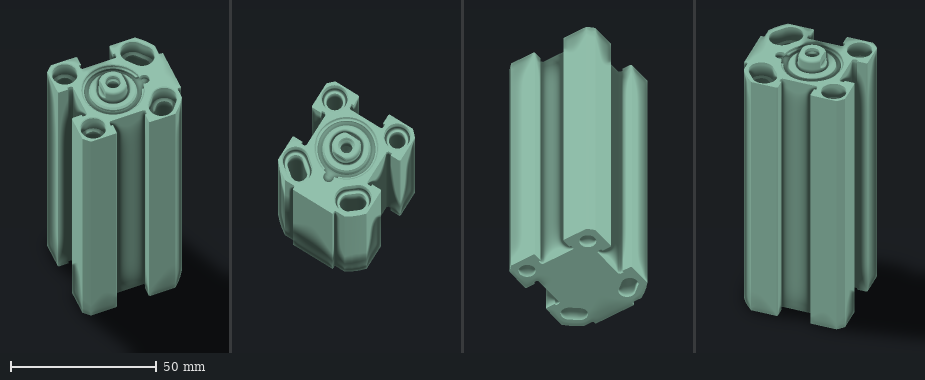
import cadquery as cq
import math

TOTAL_HEIGHT = 102.5
HOUSING_HEIGHT = 98.0
WIDTH = 36.0
DEPTH = 40.0
HALF_WIDTH = WIDTH / 2
PORT_FACE_Y = DEPTH - HALF_WIDTH

CORNER_RADIUS = 23.9
SHOULDER_Y = 20.6
PORT_FACE_HALF_WIDTH = 8.1
SHOULDER_FILLET = 0.4

SLOT_MOUTH_WIDTH = 12.0
SLOT_INNER_WIDTH = 13.5
SLOT_LIP_THICKNESS = 3.8
SLOT_DEPTH = 5.6
SLOT_INNER_CHAMFER = 0.5
SLOT_EDGE_CHAMFER = 0.3

HOLE_DIAMETER = 5.8
COUNTERBORE_DIAMETER = 8.8
COUNTERBORE_DEPTH = 5.9
RIM_CHAMFER = 0.3
RIM_CHAMFER_ANGLE = 45.0
HOLE_OFFSET = 12.7
SLOTTED_HOLE_END_X = 9.9
SLOTTED_HOLE_END_Y = 15.0

MOUTH_DIAMETER = 21.6
MOUTH_CHAMFER = 0.26
GROOVE_DIAMETER = 22.8
RING_INNER_DIAMETER = 20.0
RING_TOP_DEPTH = 1.1
RING_THICKNESS = 1.0
RING_GAP = 5.5
NOTCH_RADIUS = 1.8
NOTCH_Y = 11.7
NOTCH_DEPTH = 2.0

GLAND_FLANGE_DEPTH = RING_TOP_DEPTH + RING_THICKNESS
GLAND_LENGTH = 12.3
BOSS_DIAMETER = 16.5
BOSS_FOOT_DIAMETER = 17.6
BOSS_TOP_DEPTH = 0.2
BOSS_CHAMFER = 0.6
WIPER_BORE_DIAMETER = 11.4
WIPER_BORE_DEPTH = 1.0
WIPER_BORE_CHAMFER = 0.4
GLAND_HOLE_DIAMETER = 10.5

ROD_DIAMETER = 10.0
ROD_EDGE_RADIUS = 1.3
FLAT_WIDTH = 8.0
FLAT_LENGTH = 3.6
THREAD_HOLE_DIAMETER = 4.1
THREAD_HOLE_DEPTH = 10.2
THREAD_RELIEF_DIAMETER = 5.2
THREAD_RELIEF_DEPTH = 1.8
THREAD_RIM_CHAMFER = 0.3
DRILL_POINT_ANGLE = 118.0

RING_TOP_Z = HOUSING_HEIGHT - RING_TOP_DEPTH
FLANGE_TOP_Z = HOUSING_HEIGHT - GLAND_FLANGE_DEPTH
BOSS_TOP_Z = HOUSING_HEIGHT - BOSS_TOP_DEPTH
GLAND_BOTTOM_Z = BOSS_TOP_Z - GLAND_LENGTH


def disc(diameter, bottom, top):
    """Solid cylinder on the Z axis between two levels."""
    return cq.Workplane("XY").workplane(offset=bottom).circle(diameter / 2).extrude(top - bottom)


def revolved(points):
    """Solid turned about the Z axis from (radius, z) points."""
    return cq.Workplane("XZ").polyline(points).close().revolve(360, (0, 0, 0), (0, 1, 0))



def housing_blank():
    """Extruded outline: a square with corners on one circle and a raised face on +Y."""
    block = (
        cq.Workplane("XY")
        .rect(WIDTH, HALF_WIDTH + SHOULDER_Y)
        .extrude(HOUSING_HEIGHT)
        .translate((0, (SHOULDER_Y - HALF_WIDTH) / 2, 0))
    )
    rounded = block.intersect(disc(2 * CORNER_RADIUS, 0, HOUSING_HEIGHT))
    port_face = (
        cq.Workplane("XY")
        .rect(2 * PORT_FACE_HALF_WIDTH, PORT_FACE_Y)
        .extrude(HOUSING_HEIGHT)
        .translate((0, PORT_FACE_Y / 2, 0))
    )
    foot_edges = cq.selectors.BoxSelector(
        (-PORT_FACE_HALF_WIDTH - SHOULDER_FILLET, SHOULDER_Y - SHOULDER_FILLET, 0),
        (PORT_FACE_HALF_WIDTH + SHOULDER_FILLET, SHOULDER_Y + SHOULDER_FILLET, HOUSING_HEIGHT),
    )
    return rounded.union(port_face).edges("|Z").edges(foot_edges).fillet(SHOULDER_FILLET)


def t_slot():
    """Cutter for the T-slot that opens on the -Y side."""
    mouth = SLOT_MOUTH_WIDTH / 2
    inner = SLOT_INNER_WIDTH / 2
    lip_y = SLOT_LIP_THICKNESS - HALF_WIDTH
    floor_y = SLOT_DEPTH - HALF_WIDTH
    right_side = [
        (mouth + SLOT_EDGE_CHAMFER, -HALF_WIDTH),
        (mouth, SLOT_EDGE_CHAMFER - HALF_WIDTH),
        (mouth, lip_y),
        (inner, lip_y),
        (inner, floor_y - SLOT_INNER_CHAMFER),
        (inner - SLOT_INNER_CHAMFER, floor_y),
    ]
    left_side = [(-x, y) for x, y in reversed(right_side)]
    return cq.Workplane("XY").polyline(right_side + left_side).close().extrude(HOUSING_HEIGHT)


def elongated(start, end, diameter):
    """Outline of a slot between two end centres, drawn at the housing top."""
    length = math.dist(start, end)
    angle = math.degrees(math.atan2(end[1] - start[1], end[0] - start[0]))
    return (
        cq.Workplane("XY")
        .workplane(offset=HOUSING_HEIGHT)
        .center((start[0] + end[0]) / 2, (start[1] + end[1]) / 2)
        .slot2D(length + diameter, diameter, angle)
    )


def round_outline(center, diameter):
    """Outline of a round hole, drawn at the housing top."""
    return cq.Workplane("XY").workplane(offset=HOUSING_HEIGHT).center(*center).circle(diameter / 2)


def counterbored(outline):
    """Cutter for a through hole with a counterbore and chamfered rim; outline(diameter) draws it."""
    hole = outline(HOLE_DIAMETER).extrude(-HOUSING_HEIGHT)
    counterbore = outline(COUNTERBORE_DIAMETER).extrude(-COUNTERBORE_DEPTH)
    rim = outline(COUNTERBORE_DIAMETER + 2 * RIM_CHAMFER).extrude(-RIM_CHAMFER, taper=RIM_CHAMFER_ANGLE)
    return hole.union(counterbore).union(rim)


def mounting_holes(side):
    """Cutter for the round hole and the slotted hole on one side (side is -1 or +1)."""
    round_center = (side * HOLE_OFFSET, -HOLE_OFFSET)
    slot_start = (side * HOLE_OFFSET, HOLE_OFFSET)
    slot_end = (side * SLOTTED_HOLE_END_X, SLOTTED_HOLE_END_Y)
    round_hole = counterbored(lambda diameter: round_outline(round_center, diameter))
    slotted_hole = counterbored(lambda diameter: elongated(slot_start, slot_end, diameter))
    return round_hole.union(slotted_hole)


def gland_pocket():
    """Cutter for the gland bore, the retaining ring groove and the ring removal notch."""
    radius = MOUTH_DIAMETER / 2
    bore = revolved([
        (0, GLAND_BOTTOM_Z),
        (radius, GLAND_BOTTOM_Z),
        (radius, HOUSING_HEIGHT - MOUTH_CHAMFER),
        (radius + MOUTH_CHAMFER, HOUSING_HEIGHT),
        (0, HOUSING_HEIGHT),
    ])
    groove = disc(GROOVE_DIAMETER, FLANGE_TOP_Z, RING_TOP_Z)
    notch = disc(2 * NOTCH_RADIUS, HOUSING_HEIGHT - NOTCH_DEPTH, HOUSING_HEIGHT)
    notch = notch.translate((0, NOTCH_Y, 0))
    return bore.union(groove).union(notch)


def make_housing():
    body = housing_blank()
    for angle in (-90, 0, 90):
        body = body.cut(t_slot().rotate((0, 0, 0), (0, 0, 1), angle))
    for side in (-1, 1):
        body = body.cut(mounting_holes(side))
    return body.cut(gland_pocket())



def make_retaining_ring():
    """Flat ring with a gap that faces the notch."""
    ring = disc(GROOVE_DIAMETER, FLANGE_TOP_Z, RING_TOP_Z)
    ring = ring.cut(disc(RING_INNER_DIAMETER, FLANGE_TOP_Z, RING_TOP_Z))
    gap = (
        cq.Workplane("XY")
        .rect(RING_GAP, GROOVE_DIAMETER)
        .extrude(RING_THICKNESS)
        .translate((0, GROOVE_DIAMETER / 2, FLANGE_TOP_Z))
    )
    return ring.cut(gap)



def make_gland():
    """Flanged bushing whose chamfered boss rises through the retaining ring."""
    flange = MOUTH_DIAMETER / 2
    boss = BOSS_DIAMETER / 2
    foot = BOSS_FOOT_DIAMETER / 2
    hole = GLAND_HOLE_DIAMETER / 2
    wiper_bore = WIPER_BORE_DIAMETER / 2
    return revolved([
        (hole, GLAND_BOTTOM_Z),
        (flange, GLAND_BOTTOM_Z),
        (flange, FLANGE_TOP_Z),
        (foot, FLANGE_TOP_Z),
        (boss, FLANGE_TOP_Z + foot - boss),
        (boss, BOSS_TOP_Z - BOSS_CHAMFER),
        (boss - BOSS_CHAMFER, BOSS_TOP_Z),
        (wiper_bore + WIPER_BORE_CHAMFER, BOSS_TOP_Z),
        (wiper_bore, BOSS_TOP_Z - WIPER_BORE_CHAMFER),
        (wiper_bore, BOSS_TOP_Z - WIPER_BORE_DEPTH),
        (hole, BOSS_TOP_Z - WIPER_BORE_DEPTH),
    ])



def thread_hole():
    """Cutter for the tapping hole: chamfered relief, 45 degree step, drill and drill point."""
    drill = THREAD_HOLE_DIAMETER / 2
    relief = THREAD_RELIEF_DIAMETER / 2
    relief_z = TOTAL_HEIGHT - THREAD_RELIEF_DEPTH
    bottom_z = TOTAL_HEIGHT - THREAD_HOLE_DEPTH
    point_length = drill / math.tan(math.radians(DRILL_POINT_ANGLE / 2))
    return revolved([
        (0, bottom_z - point_length),
        (drill, bottom_z),
        (drill, relief_z - (relief - drill)),
        (relief, relief_z),
        (relief, TOTAL_HEIGHT - THREAD_RIM_CHAMFER),
        (relief + THREAD_RIM_CHAMFER, TOTAL_HEIGHT),
        (0, TOTAL_HEIGHT),
    ])


def wrench_flat():
    """Cutter for the flat on the +Y side, whose lower end runs out at 45 degrees."""
    flat = FLAT_WIDTH / 2
    flat_end_z = TOTAL_HEIGHT - FLAT_LENGTH
    outside = ROD_DIAMETER
    profile = [
        (flat, TOTAL_HEIGHT),
        (flat, flat_end_z),
        (outside, flat_end_z - (outside - flat)),
        (outside, TOTAL_HEIGHT),
    ]
    return cq.Workplane("YZ").polyline(profile).close().extrude(ROD_DIAMETER / 2, both=True)


def make_rod():
    rod = disc(ROD_DIAMETER, GLAND_BOTTOM_Z, TOTAL_HEIGHT).faces(">Z").edges().fillet(ROD_EDGE_RADIUS)
    for angle in (0, 180):
        rod = rod.cut(wrench_flat().rotate((0, 0, 0), (0, 0, 1), angle))
    return rod.cut(thread_hole())


housing = make_housing()
retaining_ring = make_retaining_ring()
gland = make_gland()
rod = make_rod()

result = cq.Compound.makeCompound([housing.val(), retaining_ring.val(), gland.val(), rod.val()])